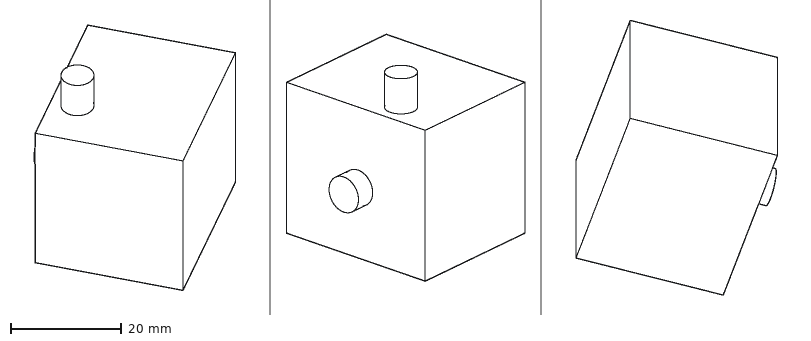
import cadquery as cq

total_x = 32.0
block_depth = 33.0
total_z = 37.0

top_pin_diameter = 6.0
top_pin_length = 7.0
top_pin_from_left = 5.0
top_pin_from_front = 10.0

side_pin_diameter = 7.0
side_pin_length = 4.0
side_pin_from_front = 16.0
side_pin_from_bottom = 14.0

block_width = total_x - side_pin_length
block_height = total_z - top_pin_length

block = cq.Workplane("XY").box(block_width, block_depth, block_height, centered=False)

top_pin = (
    cq.Workplane("XY", origin=(top_pin_from_left, top_pin_from_front, block_height))
    .circle(top_pin_diameter / 2)
    .extrude(top_pin_length)
)

side_pin = (
    cq.Workplane("YZ", origin=(0, side_pin_from_front, side_pin_from_bottom))
    .circle(side_pin_diameter / 2)
    .extrude(-side_pin_length)
)

result = block.union(top_pin).union(side_pin)